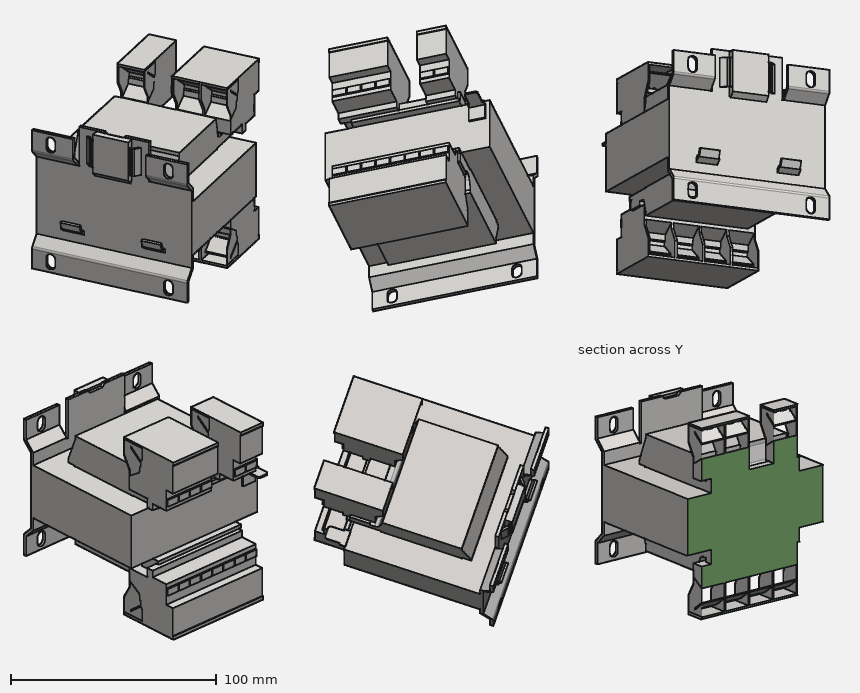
import cadquery as cq


core_width = 84.0
core_height = 29.3
sheet = 1.8
plate_front = 5.1
plate_back = plate_front + sheet
core_back = 76.7
core_top = core_height / 2
window_width = 55.7
window_front = 20.9
window_back = 62.5

flange_end = 37.7
flange_bend = 26.8
bend_radius = 1.8
bend_shift = 0.6
web_start = 21.6
tab_width = 37.7
tab_top = 42.4
tab_notch_mouth = 11.4
tab_notch_base = 8.1
tab_notch_depth = 1.7
relief_width = 0.9
slot_offset = 31.85
slot_width = 4.9
slot_length = 8.2

hook_offset = 21.9
hook_root_width = 11.4
hook_tip_width = 10.4
hook_corner = 0.7
hook_foot_z = -16.0
hook_bend_y = 2.4
hook_bend_z = -13.8
hook_tip_y = 0.9
hook_tip_z = -9.3
hook_thickness_y = 1.2
hook_thickness_z = 1.0

clip_width = 19.3
clip_front = 1.3
clip_top = 42.0
clip_nose_top = 21.0
clip_bottom = 18.5
clip_toe = 3.6
clip_heel = 4.9
clip_heel_z = 19.6
leaf_outer = 14.7
leaf_bend = 12.1
leaf_tip = 10.8
leaf_tip_curl = 0.2
leaf_width_at_plate = 1.7
leaf_front = plate_front - (leaf_outer - leaf_bend)
lip_width = 21.2
lip_front = 2.1
lip_back = 2.9
leaf_bottom = 23.6
leaf_top = 38.3

bobbin_width = 55.0
cover_front = 21.2
cover_back = 62.1
shoulder_z = 16.5
notch_floor = 19.8
notch_back = 68.5
notch_front = 66.1
flank_foot_y = 63.9
flank_foot_z = 21.4
arm_top = 21.8
arm_step = 78.7
arm_back = 80.5
flank_drop = 2.0
upper_cover_top = 31.3
upper_cover_edge = 29.3
upper_foot = 16.2
lower_cover_top = 28.7
lower_cover_edge = 25.2
lower_foot = 17.9

block_left = -26.2
row_width = 59.7
block_pitch = row_width / 4
upper_places = (0, 2, 3)
lower_places = (0, 1, 2, 3)
block_top = 49.15
roof_back = 97.5
roof_edge_z = 47.2
head_back = 97.1
head_bottom = 31.8
body_back = 92.4
body_bottom = 20.3
body_front = 66.2
shoulder_bend = 32.3
foot_back = 82.7
foot_bottom = 16.7
hood_front = 62.1
hood_bottom = 39.3
left_wall = 0.9
right_wall = 0.4
roof_thickness = 1.3
entry_floor = 29.3
entry_back = 74.9
entry_wall = (
    (entry_back, block_top - roof_thickness),
    (entry_back, 41.7),
    (73.9, 40.3),
    (73.9, 37.4),
    (73.1, 36.8),
    (72.8, 33.6),
)
flap_front = 66.6
flap_front_z = 45.0
flap_back_z = 38.6
flap_thickness = 0.8
bump_width = 6.9
bump_depth = 0.9
bump_bottom = 22.8
bump_top = 26.5

tab_centre = -35.8
earth_sheet = 0.9
earth_foot_width = 8.2
earth_blade_width = 6.6
earth_top = 12.5
earth_bottom = 3.6
earth_foot_back = 79.8
earth_tip = 87.8
earth_chamfer = 0.9


def box(x0, x1, y0, y1, z0, z1):
    return cq.Workplane("XY").box(x1 - x0, y1 - y0, z1 - z0, centered=False).translate((x0, y0, z0))


def slab(outline, x0, x1):
    """Extrude a closed (y, z) outline from x0 to x1."""
    return cq.Workplane("YZ").polyline(outline).close().extrude(x1 - x0).translate((x0, 0, 0))


def mirror_z(shape):
    return shape.mirror("XY")


def mirror_x(shape):
    return shape.mirror("YZ")


def flange(x0, x1):
    """Upper flange, set forward of the plate by a sloped web."""
    outline = [
        (plate_back, 0),
        (plate_back, web_start),
        (sheet, flange_bend),
        (sheet, flange_end),
        (0, flange_end),
        (0, flange_bend - bend_shift),
        (plate_front, web_start - bend_shift),
        (plate_front, 0),
    ]
    front_bend = cq.selectors.NearestToPointSelector(((x0 + x1) / 2, 0, flange_bend - bend_shift))
    return slab(outline, x0, x1).edges("|X").edges(front_bend).fillet(bend_radius)


def mounting_plate():
    half = core_width / 2
    flange_inner = tab_width / 2 + relief_width
    plate = mirror_z(flange(-half, half))
    plate = plate.union(box(-half, half, plate_front, plate_back, -web_start, web_start - bend_shift))
    plate = plate.union(box(-tab_width / 2, tab_width / 2, plate_front, plate_back, 0, tab_top))
    notch = (
        cq.Workplane("XZ")
        .moveTo(-tab_notch_mouth / 2, tab_top)
        .lineTo(-tab_notch_base / 2, tab_top - tab_notch_depth)
        .lineTo(tab_notch_base / 2, tab_top - tab_notch_depth)
        .lineTo(tab_notch_mouth / 2, tab_top)
        .close()
        .extrude(-plate_back)
    )
    plate = plate.cut(notch)
    plate = plate.union(flange(flange_inner, half)).union(flange(-half, -flange_inner))
    slots = (
        cq.Workplane("XZ")
        .rect(2 * slot_offset, 2 * slot_offset, forConstruction=True)
        .vertices()
        .slot2D(slot_length, slot_width, 90)
        .extrude(-sheet)
    )
    return plate.cut(slots)


def core():
    """Core block with the window that leaves a thin gap beside the bobbin."""
    half = core_width / 2
    half_window = window_width / 2
    block = box(-half, half, plate_back, core_back, -core_top, core_top)
    return block.cut(box(-half_window, half_window, window_front, window_back, -core_top, core_top))


def rail_hook(x_centre):
    """Bent hook with a wide root and a narrower tip with rounded corners."""
    inner_bend = (hook_bend_y + hook_thickness_y, hook_bend_z + hook_thickness_z)
    root = [
        (plate_front, hook_foot_z),
        (hook_bend_y, hook_bend_z),
        inner_bend,
        (plate_front, hook_foot_z + 2 * hook_thickness_z),
    ]
    tip = [
        (hook_bend_y, hook_bend_z),
        (hook_tip_y, hook_tip_z - hook_thickness_z / 2),
        (hook_tip_y + hook_thickness_y, hook_tip_z),
        inner_bend,
    ]
    root_half = hook_root_width / 2
    tip_half = hook_tip_width / 2
    rounded_blank = (
        box(-tip_half, tip_half, 0, plate_front, hook_foot_z, hook_tip_z)
        .edges("|Y and >Z")
        .fillet(hook_corner)
    )
    tip_part = slab(tip, -tip_half, tip_half).intersect(rounded_blank)
    hook = slab(root, -root_half, root_half).union(tip_part)
    return hook.translate((x_centre, 0, 0))


def rail_clip():
    outline = [
        (plate_front, clip_top),
        (clip_front, clip_top),
        (clip_front, clip_nose_top),
        (clip_toe, clip_bottom),
        (clip_heel, clip_heel_z),
        (plate_front, clip_heel_z),
    ]
    body = slab(outline, -clip_width / 2, clip_width / 2)
    return body.union(box(-lip_width / 2, lip_width / 2, lip_front, lip_back, leaf_bottom, leaf_top))


def spring_leaf():
    outline = [
        (leaf_outer, plate_front),
        (leaf_bend, leaf_front),
        (leaf_tip + 2 * leaf_tip_curl, leaf_front - leaf_tip_curl),
        (leaf_tip, lip_back),
        (leaf_outer - leaf_width_at_plate, plate_front),
    ]
    height = leaf_top - leaf_bottom
    return cq.Workplane("XY").polyline(outline).close().extrude(height).translate((0, 0, leaf_bottom))


def bobbin_half(cover_top, cover_edge, foot):
    """Upper half of the bobbin: winding cover, notch and the arm under the terminals."""
    flank_top = cover_top - flank_drop
    return (
        cq.Workplane("YZ")
        .moveTo(core_back, 0)
        .lineTo(core_back, core_top)
        .lineTo(arm_back, core_top)
        .lineTo(arm_back, shoulder_z)
        .lineTo(arm_step, shoulder_z)
        .lineTo(arm_step, arm_top)
        .lineTo(notch_back, arm_top)
        .lineTo(notch_back, notch_floor)
        .lineTo(notch_front, notch_floor)
        .tangentArcPoint((flank_foot_y, flank_foot_z), relative=False)
        .lineTo(cover_back, flank_top)
        .lineTo(cover_back, cover_top)
        .lineTo(cover_front, cover_top)
        .lineTo(cover_front, cover_edge)
        .lineTo(foot, shoulder_z)
        .lineTo(foot, 0)
        .close()
        .extrude(bobbin_width / 2, both=True)
    )


def terminal_block(place):
    """One upper terminal block; its wire entry opens towards the mounting plate."""
    x0 = block_left + place * block_pitch
    x1 = x0 + block_pitch
    body = [
        (hood_front, block_top),
        (roof_back, block_top),
        (roof_back, roof_edge_z),
        (head_back, roof_edge_z),
        (head_back, head_bottom),
        (body_back, head_bottom),
        (body_back, body_bottom),
        (foot_back, body_bottom),
        (foot_back, foot_bottom),
        (arm_step, foot_bottom),
        (arm_step, arm_top),
        (body_front, arm_top),
        (body_front, shoulder_bend),
        (hood_front, hood_bottom),
    ]
    entry = [
        (hood_front, block_top - roof_thickness),
        *entry_wall,
        (body_front, entry_floor),
        (hood_front, entry_floor),
    ]
    flap = [
        (flap_front, flap_front_z + flap_thickness),
        (entry_back, flap_back_z + flap_thickness),
        (entry_back, flap_back_z),
        (flap_front, flap_front_z),
    ]
    block = slab(body, x0, x1)
    block = block.cut(slab(entry, x0 + left_wall, x1 - right_wall))
    block = block.union(slab(flap, x0 + left_wall, x1 - right_wall))
    for side in (-1, 1):
        centre = (x0 + x1) / 2 + side * block_pitch / 4
        half = bump_width / 2
        bump = box(centre - half, centre + half, body_back, body_back + bump_depth, bump_bottom, bump_top)
        block = block.union(bump)
    return block


def earth_tab():
    foot_half = earth_foot_width / 2
    blade_half = earth_blade_width / 2
    blade_bottom = earth_top - earth_sheet
    leg = box(-foot_half, foot_half, core_back, core_back + earth_sheet, earth_bottom, earth_top)
    foot = box(-foot_half, foot_half, core_back, earth_foot_back, blade_bottom, earth_top)
    blade = box(-blade_half, blade_half, core_back, earth_tip, blade_bottom, earth_top)
    blade = blade.faces(">Y").edges("|Z").chamfer(earth_chamfer)
    return leg.union(foot).union(blade).translate((tab_centre, 0, 0))


result = core()
result = result.union(mounting_plate())
result = result.union(rail_hook(-hook_offset)).union(rail_hook(hook_offset))
result = result.union(rail_clip())
result = result.union(spring_leaf()).union(mirror_x(spring_leaf()))
result = result.union(bobbin_half(upper_cover_top, upper_cover_edge, upper_foot))
result = result.union(mirror_z(bobbin_half(lower_cover_top, lower_cover_edge, lower_foot)))
for place in upper_places:
    result = result.union(terminal_block(place))
for place in lower_places:
    result = result.union(mirror_z(terminal_block(place)))
result = result.union(earth_tab())